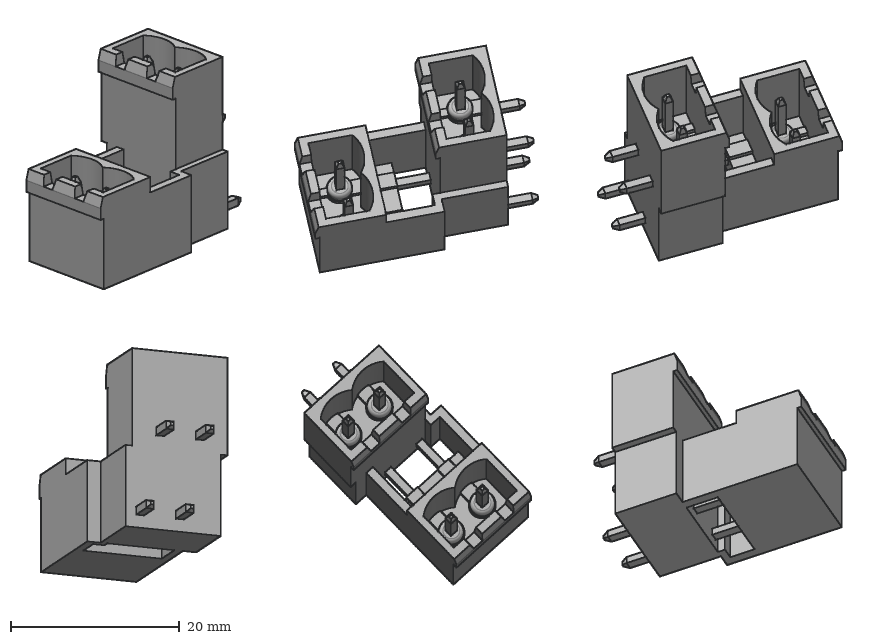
import cadquery as cq

block_width = 12.15
block_depth = 8.05
block_height = 12.0
middle_x = block_width / 2

upper_place = cq.Vector(0, 0, 10.0)
lower_place = cq.Vector(2.55, -15.12, 0)

lip_overhang = 0.53
lip_height = 2.85
lip_bevel_depth = 0.4
lip_bevel_height = 1.33

contact_pitch = 5.07
contact_depth = 3.88
socket_width = 10.25
socket_front_depth = 7.12
scallop_crown_depth = 0.95
scallop_corner_depth = 1.83
floor_height = 3.0

slot_top_width = 2.0
slot_floor_width = 1.4

rib_height = 0.5
rear_rib_width = 1.85
front_rib_width = 1.0
collar_diameter = 3.0
collar_foot_diameter = 3.2
collar_height = 1.5
collar_rounding = 0.5

column_x = 0.85
frame_wall = 1.08
jog_wall = 0.95
shelf_depth = 2.95

pin_size = 1.0
pin_tip_size = 0.4
pin_tip_length = 0.75
pin_axis_z = 2.05
pin_top_z = 10.7
tail_length = 4.0

contact_xs = [middle_x - contact_pitch / 2, middle_x + contact_pitch / 2]


def box(left, right, rear_depth, front_depth, bottom, top):
    """Box between the given limits; the depths run forward, along -Y."""
    size = (right - left, front_depth - rear_depth, top - bottom)
    return cq.Workplane("XY").box(*size, centered=False).translate((left, -front_depth, bottom))


def block_body():
    """Side profile with the bevelled lip, extruded over the block width."""
    lip_depth = block_depth + lip_overhang
    return (
        cq.Workplane("YZ")
        .moveTo(0, 0)
        .lineTo(-block_depth, 0)
        .lineTo(-block_depth, block_height - lip_height)
        .lineTo(-lip_depth, block_height - lip_height)
        .lineTo(-lip_depth, block_height - lip_bevel_height)
        .lineTo(lip_bevel_depth - lip_depth, block_height)
        .lineTo(0, block_height)
        .close()
        .extrude(block_width)
    )


def socket():
    """Cavity with one arched lobe behind each contact."""
    left_x = middle_x - socket_width / 2
    right_x = middle_x + socket_width / 2
    return (
        cq.Workplane("XY", origin=(0, 0, floor_height))
        .moveTo(left_x, -socket_front_depth)
        .lineTo(left_x, -scallop_corner_depth)
        .threePointArc((contact_xs[0], -scallop_crown_depth), (middle_x, -scallop_corner_depth))
        .threePointArc((contact_xs[1], -scallop_crown_depth), (right_x, -scallop_corner_depth))
        .lineTo(right_x, -socket_front_depth)
        .close()
        .extrude(block_height - floor_height)
    )


def coding_slot(x):
    """Tapered slot through the front wall, as deep as the lip bevel."""
    return (
        cq.Workplane("XZ", origin=(x, -socket_front_depth, block_height))
        .moveTo(-slot_top_width / 2, 0)
        .lineTo(slot_top_width / 2, 0)
        .lineTo(slot_floor_width / 2, -lip_bevel_height)
        .lineTo(-slot_floor_width / 2, -lip_bevel_height)
        .close()
        .extrude(block_depth)
    )


def floor_rib(x, width, rear_depth, front_depth):
    """Low rib along Y, centred on x, that stands on the floor."""
    return box(x - width / 2, x + width / 2, rear_depth, front_depth, floor_height, floor_height + rib_height)


def collar(x):
    """Rounded collar on a slightly wider foot."""
    floor = cq.Workplane("XY", origin=(x, -contact_depth, floor_height))
    foot = floor.circle(collar_foot_diameter / 2).extrude(rib_height)
    ring = floor.circle(collar_diameter / 2).extrude(collar_height)
    return foot.union(ring.faces(">Z").edges().fillet(collar_rounding))


def header_block():
    """Complete block with its socket, coding slots, floor ribs and collars."""
    block = block_body().cut(socket())
    for x in contact_xs:
        block = block.cut(coding_slot(x))
        block = block.union(floor_rib(x, rear_rib_width, 0, contact_depth))
        block = block.union(floor_rib(x, front_rib_width, contact_depth, socket_front_depth))
        block = block.union(collar(x))
    return block


def column():
    """Solid column that carries the upper block."""
    return box(column_x, column_x + block_width, 0, block_depth, 0, upper_place.z)


def frame():
    """Two side walls, the jog on the right and the low ribbed shelf behind the lower block."""
    left_x = lower_place.x
    right_x = left_x + block_width
    front_depth = -lower_place.y
    shelf_rear_depth = front_depth - shelf_depth
    wall_top = upper_place.z
    left_wall = box(left_x, left_x + frame_wall, block_depth, front_depth, 0, wall_top)
    right_wall = box(right_x - frame_wall, right_x, block_depth, front_depth, 0, wall_top)
    jog = box(block_width, right_x, block_depth, block_depth + jog_wall, 0, wall_top)
    shelf = box(left_x, right_x, shelf_rear_depth, front_depth, 0, floor_height)
    for x in contact_xs:
        shelf = shelf.union(floor_rib(left_x + x, rear_rib_width, shelf_rear_depth, front_depth))
    return left_wall.union(right_wall).union(jog).union(shelf)


def pin_point(workplane):
    """Four-sided point that tapers from the pin section along the normal of the workplane."""
    return (
        workplane.rect(pin_size, pin_size)
        .workplane(offset=pin_tip_length)
        .rect(pin_tip_size, pin_tip_size)
        .loft()
    )


def pin(place, contact_x):
    """Square pin bent at a right angle: contact upwards, tail out through the rear."""
    x = place.x + contact_x
    depth = contact_depth - place.y
    axis_z = place.z + pin_axis_z
    shoulder_z = place.z + pin_top_z - pin_tip_length
    tail_shoulder = tail_length - pin_tip_length
    half = pin_size / 2
    contact = box(x - half, x + half, depth - half, depth + half, axis_z - half, shoulder_z)
    tail = box(x - half, x + half, -tail_shoulder, depth, axis_z - half, axis_z + half)
    contact_point = pin_point(cq.Workplane("XY", origin=(x, -depth, shoulder_z)))
    tail_plane = cq.Plane(origin=(x, tail_shoulder, axis_z), xDir=(1, 0, 0), normal=(0, 1, 0))
    tail_point = pin_point(cq.Workplane(tail_plane))
    return contact.union(contact_point).union(tail).union(tail_point)


pins = [pin(place, x) for place in (upper_place, lower_place) for x in contact_xs]

block = header_block()
housing = (
    column()
    .union(block.translate(upper_place))
    .union(block.translate(lower_place))
    .union(frame())
)
for fitted_pin in pins:
    housing = housing.cut(fitted_pin)

result = cq.Compound.makeCompound([housing.val(), *[fitted_pin.val() for fitted_pin in pins]])